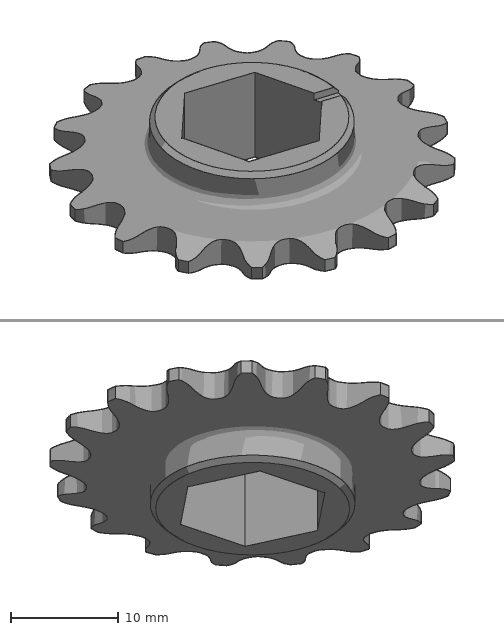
import cadquery as cq
import math

tooth_count = 17
pitch = 6.35
roller_diameter = 3.302
seat_clearance = 0.0762

plate_thickness = 2.8
bevel_start_radius = 15.72
tip_thickness = 1.3

cutter_overrun = 4.0

total_height = 9.53
hub_radius = 9.525
hub_chamfer = 0.5
hub_fillet = 1.0

hex_across_flats = 12.8

slot_width = 1.5
slot_depth = 0.75

half_tooth_angle = math.pi / tooth_count
pitch_radius = pitch / 2 / math.sin(half_tooth_angle)
tip_radius = pitch / 2 * (0.6 + 1 / math.tan(half_tooth_angle))
half_plate = plate_thickness / 2
half_tip = tip_thickness / 2
half_height = total_height / 2
hex_across_corners = hex_across_flats / math.cos(math.pi / 6)


def offset_point(origin, distance, angle):
    """Point at a distance and angle (radians) from an origin."""
    return (origin[0] + distance * math.cos(angle), origin[1] + distance * math.sin(angle))


def mirrored(point):
    return (-point[0], point[1])


def make_blank():
    """Hub and bevelled plate turned about Z, before the teeth are cut."""
    fillet_radius = hub_radius + hub_fillet
    fillet_top = half_plate + hub_fillet
    fillet_mid = hub_fillet * (1 - math.sqrt(0.5))
    profile = (
        cq.Workplane("XZ")
        .moveTo(0, -half_height)
        .lineTo(hub_radius - hub_chamfer, -half_height)
        .lineTo(hub_radius, -half_height + hub_chamfer)
        .lineTo(hub_radius, -fillet_top)
        .threePointArc((hub_radius + fillet_mid, -half_plate - fillet_mid), (fillet_radius, -half_plate))
        .lineTo(bevel_start_radius, -half_plate)
        .lineTo(tip_radius, -half_tip)
        .lineTo(tip_radius, half_tip)
        .lineTo(bevel_start_radius, half_plate)
        .lineTo(fillet_radius, half_plate)
        .threePointArc((hub_radius + fillet_mid, half_plate + fillet_mid), (hub_radius, fillet_top))
        .lineTo(hub_radius, half_height - hub_chamfer)
        .lineTo(hub_radius - hub_chamfer, half_height)
        .lineTo(0, half_height)
        .close()
    )
    return profile.revolve(360, (0, 0, 0), (0, 1, 0))


def make_tooth_gap():
    """Cutter for the gap on the +Y axis, following the ANSI B29.1 tooth form.

    The seat is an arc about the roller centre. Each flank is a working arc,
    a short straight line and a topping arc that ends on the tooth centreline.
    """
    seat_radius = (1.0005 * roller_diameter + seat_clearance) / 2
    seat_angle = math.radians(35 + 60 / tooth_count)
    working_sweep = math.radians(18 - 56 / tooth_count)
    topping_angle = math.radians(17 - 64 / tooth_count)
    working_offset = 0.8 * roller_diameter
    topping_offset = 1.4 * roller_diameter
    working_radius = working_offset + seat_radius
    topping_radius = (
        working_offset * math.cos(working_sweep)
        + topping_offset * math.cos(topping_angle)
        - working_radius
    )

    roller_centre = (0, pitch_radius)
    working_centre = offset_point(roller_centre, working_offset, seat_angle)
    topping_centre = offset_point(roller_centre, topping_offset, math.pi + half_tooth_angle)

    flank_angle = seat_angle - working_sweep
    seat_bottom = (0, pitch_radius - seat_radius)
    seat_end = offset_point(roller_centre, seat_radius, math.pi + seat_angle)
    working_mid_angle = math.pi + seat_angle - working_sweep / 2
    working_mid = offset_point(working_centre, working_radius, working_mid_angle)
    working_end = offset_point(working_centre, working_radius, math.pi + flank_angle)
    topping_start = offset_point(topping_centre, topping_radius, flank_angle)

    point_angle = half_tooth_angle + math.acos((topping_offset - pitch / 2) / topping_radius)
    topping_mid = offset_point(topping_centre, topping_radius, (flank_angle + point_angle) / 2)
    tooth_point = offset_point(topping_centre, topping_radius, point_angle)
    outer_point = (0, tip_radius + cutter_overrun)

    return (
        cq.Workplane("XY", origin=(0, 0, -half_plate))
        .moveTo(*tooth_point)
        .threePointArc(topping_mid, topping_start)
        .lineTo(*working_end)
        .threePointArc(working_mid, seat_end)
        .threePointArc(seat_bottom, mirrored(seat_end))
        .threePointArc(mirrored(working_mid), mirrored(working_end))
        .lineTo(*mirrored(topping_start))
        .threePointArc(mirrored(topping_mid), mirrored(tooth_point))
        .lineTo(*outer_point)
        .close()
        .extrude(plate_thickness)
    )


def make_bore():
    return (
        cq.Workplane("XY", origin=(0, 0, -half_height))
        .transformed(rotate=(0, 0, 90))
        .polygon(6, hex_across_corners)
        .extrude(total_height)
    )


def make_index_slot():
    return cq.Workplane("XY", origin=(0, 0, half_height - slot_depth)).box(
        slot_width, hub_radius, slot_depth, centered=(True, False, False)
    )


sprocket = make_blank()
tooth_gap = make_tooth_gap()
for index in range(tooth_count):
    sprocket = sprocket.cut(tooth_gap.rotate((0, 0, 0), (0, 0, 1), index * 360 / tooth_count))

result = sprocket.cut(make_bore()).cut(make_index_slot())